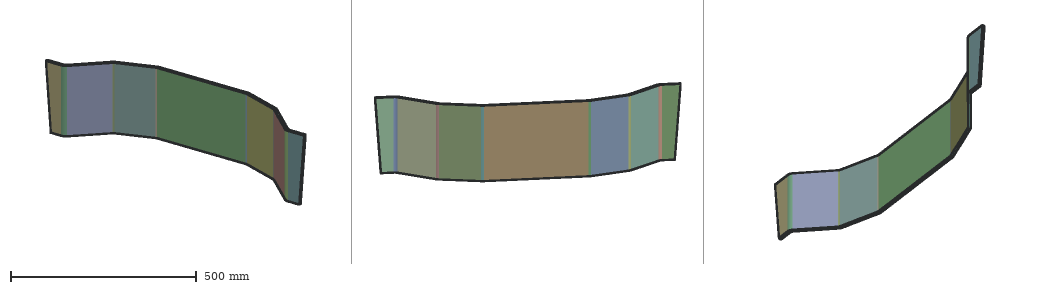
import cadquery as cq
import math

length = 834.5
depth = 138.0
height = 210.0
thickness = 8.0
end_taper = 16.0

foot_bend_x = 358.0
knee_bend_x = 259.0
knee_bend_y = 91.0
crown_bend_x = 145.0

inner_radius = 14.0
outer_radius = inner_radius + thickness

half_length = length / 2
front_corners = [
    (-half_length, 0),
    (-foot_bend_x, 0),
    (-knee_bend_x, knee_bend_y),
    (-crown_bend_x, depth - thickness),
    (crown_bend_x, depth - thickness),
    (knee_bend_x, knee_bend_y),
    (foot_bend_x, 0),
    (half_length, 0),
]


def heading(start, end):
    """Angle of the straight run from start to end."""
    return math.atan2(end[1] - start[1], end[0] - start[0])


def back_corner(before, corner, after):
    """Corner of the back face, one sheet thickness behind a front corner."""
    angle_in = heading(before, corner)
    angle_out = heading(corner, after)
    bisector = (angle_in + angle_out) / 2
    reach = thickness / math.cos((angle_out - angle_in) / 2)
    return (corner[0] - reach * math.sin(bisector), corner[1] + reach * math.cos(bisector))


def round_bend(sheet, front, back, front_radius, back_radius):
    """Round both faces of the sheet at one bend."""
    for corner, radius in ((front, front_radius), (back, back_radius)):
        point = (corner[0], corner[1], height / 2)
        sheet = sheet.edges(cq.selectors.NearestToPointSelector(point)).fillet(radius)
    return sheet


inner_corners = zip(front_corners, front_corners[1:], front_corners[2:])
back_corners = [(-half_length, thickness)]
back_corners += [back_corner(*corners) for corners in inner_corners]
back_corners.append((half_length, thickness))
sheet = cq.Workplane("XY").polyline(front_corners + back_corners[::-1]).close().extrude(height)

foot_bends = (1, 6)
arch_bends = (2, 3, 4, 5)
for i in foot_bends:
    sheet = round_bend(sheet, front_corners[i], back_corners[i], outer_radius, inner_radius)
for i in arch_bends:
    sheet = round_bend(sheet, front_corners[i], back_corners[i], inner_radius, outer_radius)

half_bottom = half_length - end_taper
end_outline = [
    (-half_bottom, 0),
    (half_bottom, 0),
    (half_length, height),
    (-half_length, height),
]
envelope = cq.Workplane("XZ").polyline(end_outline).close().extrude(-depth)

result = sheet.intersect(envelope)